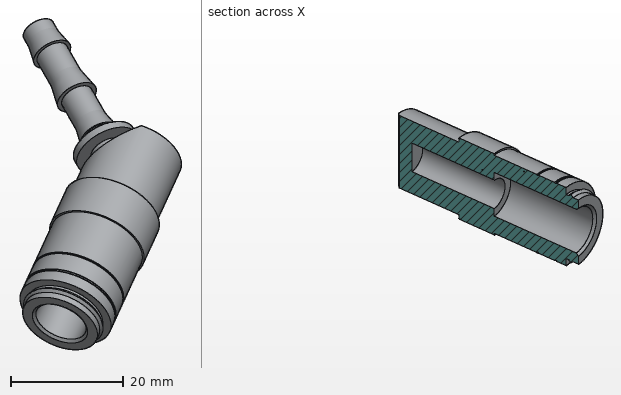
import cadquery as cq
import math

nose_radius = 7.1
nose_length = 2.8
snap_ring_radius = 7.55
snap_ring_y = 1.7
snap_ring_slope = 0.55
sleeve_radius = 8.65
sleeve_end = 18.85
collar_radius = 8.99
collar_end = 26.9
collar_chamfer = 0.2
head_radius = 8.0
head_end = 40.6

groove_depth = 0.1
grooves = [(5.0, 0.4), (9.1, 0.25)]

seat_corner_y = 32.1

socket_radius = 4.75
socket_depth = 18.85
socket_chamfer = 0.5
passage_radius = 3.1
passage_depth = 37.25

tail_angle = 45.0
tail_origin_y = 33.5
tail_length = 37.0
tail_bore_radius = 2.4
tube_radius = 6.0 / 2
stub_radius = 6.5 / 2
flange_radius = 6.0
flange_start = 7.7
flange_end = 9.15
barbs = [(11.2, 14.65, 3.65), (20.65, 25.2, 3.8), (31.15, 34.65, 3.65)]


def cylinder_y(radius, start, end):
    """Solid cylinder on the Y axis between two Y positions."""
    return cq.Workplane("XZ", origin=(0, start, 0)).circle(radius).extrude(start - end)


def revolve_about_y(points):
    """Solid of revolution from (radius, Y) points."""
    return cq.Workplane("XY").polyline(points).close().revolve(360, (0, 0, 0), (0, 1, 0))


def make_body():
    body = cylinder_y(nose_radius, 0, nose_length)
    body = body.union(cylinder_y(sleeve_radius, nose_length, sleeve_end))
    collar = cylinder_y(collar_radius, sleeve_end, collar_end).faces(">Y").chamfer(collar_chamfer)
    body = body.union(collar)
    body = body.union(cylinder_y(head_radius, collar_end, head_end))
    snap_ring = revolve_about_y([
        (0, snap_ring_y - snap_ring_slope),
        (nose_radius, snap_ring_y - snap_ring_slope),
        (snap_ring_radius, snap_ring_y),
        (nose_radius, snap_ring_y + snap_ring_slope),
        (0, snap_ring_y + snap_ring_slope),
    ])
    return body.union(snap_ring)


def cut_grooves(body):
    for start, width in grooves:
        outer = cylinder_y(collar_radius, start, start + width)
        core = cylinder_y(sleeve_radius - groove_depth, start, start + width)
        body = body.cut(outer.cut(core))
    return body


def cut_seat(body):
    """Remove the -X corner of the head above the 45 degree seat plane."""
    rise = head_end - seat_corner_y
    seat_run = rise * math.tan(math.radians(tail_angle))
    corner = (
        cq.Workplane("XY")
        .polyline([
            (-head_radius, seat_corner_y),
            (-head_radius + seat_run, head_end),
            (-head_radius, head_end),
        ])
        .close()
        .extrude(head_radius, both=True)
    )
    return body.cut(corner)


def place_on_tail(shape):
    """Lean a shape built on the Y axis onto the hose tail axis."""
    return shape.rotate((0, 0, 0), (0, 0, 1), tail_angle).translate((0, tail_origin_y, 0))


def make_tail():
    tail = cylinder_y(stub_radius, 0, barbs[0][0])
    tail = tail.union(cylinder_y(tube_radius, barbs[0][0], tail_length))
    tail = tail.union(cylinder_y(flange_radius, flange_start, flange_end))
    for large_end, small_end, large_radius in barbs:
        barb = revolve_about_y([
            (0, large_end),
            (large_radius, large_end),
            (tube_radius, small_end),
            (0, small_end),
        ])
        tail = tail.union(barb)
    return place_on_tail(tail)


def make_bores():
    socket = revolve_about_y([
        (0, 0),
        (socket_radius + socket_chamfer, 0),
        (socket_radius, socket_chamfer),
        (socket_radius, socket_depth),
        (0, socket_depth),
    ])
    passage = cylinder_y(passage_radius, 0, passage_depth)
    tail_bore = place_on_tail(cylinder_y(tail_bore_radius, 0, tail_length))
    return socket.union(passage).union(tail_bore)


body = cut_seat(cut_grooves(make_body()))
result = body.union(make_tail()).cut(make_bores())